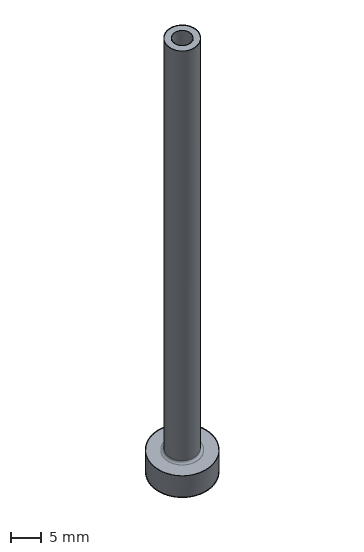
import cadquery as cq

total_length = 100.0
head_diameter = 12.0
head_height = 5.0
shank_diameter = 6.0
bore_diameter = 3.5
neck_fillet_radius = 0.5


def make_sleeve_body():
    """Revolve the half outline: head, filleted neck and straight shank."""
    head_radius = head_diameter / 2
    shank_radius = shank_diameter / 2
    fillet_outer_radius = shank_radius + neck_fillet_radius
    fillet_top = head_height + neck_fillet_radius
    half_outline = (
        cq.Workplane("XZ")
        .lineTo(head_radius, 0)
        .lineTo(head_radius, head_height)
        .lineTo(fillet_outer_radius, head_height)
        .radiusArc((shank_radius, fillet_top), neck_fillet_radius)
        .lineTo(shank_radius, total_length)
        .lineTo(0, total_length)
        .close()
    )
    return half_outline.revolve(360, (0, 0, 0), (0, 1, 0))


def make_bore():
    """Round bore through the full length."""
    return cq.Workplane("XY").circle(bore_diameter / 2).extrude(total_length)


result = make_sleeve_body().cut(make_bore())